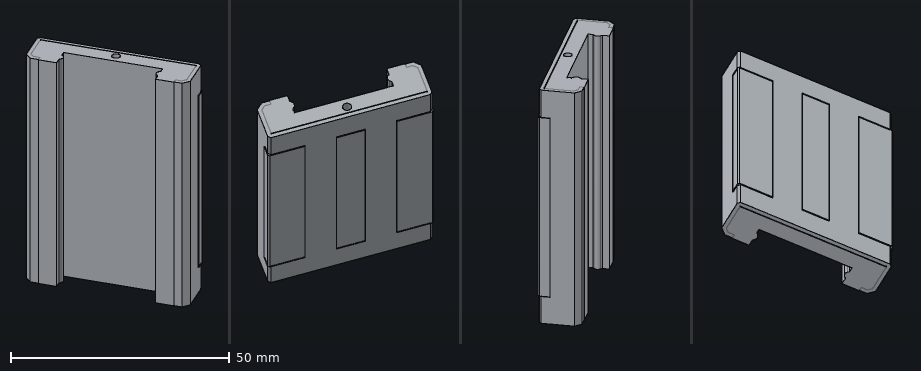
import cadquery as cq
import math

length = 59.1
overall_width = 40.0
overall_depth = 10.2

side_pad_thickness = 0.2
back_pad_thickness = 0.25
core_step = 0.1
wall = 1.0
half_width = overall_width / 2 - side_pad_thickness
casing_back = overall_depth - back_pad_thickness
front_chamfer = 1.5
back_chamfer = 0.6
lip_end_x = 16.4

cavity_half_width = half_width - wall
cavity_front = core_step + wall
cavity_back = casing_back - wall
cavity_chamfer = front_chamfer - wall * (2 - math.sqrt(2))
back_gap = 0.1
channel_half_width = 11.95
channel_depth = 5.0
rail_tip_radius = 1.0
rail_flank = 0.4
rail_y = 2.8

hole_diameter = 2.0
hole_y = 7.25
hole_depth = 5.9

pad_end_margin = 6.9
corner_pad_depth = 2.9
corner_pad_inner_x = 11.05
pad_chamfer = 0.4
centre_pad_width = 6.9


def block(x_min, x_max, y_min, y_max, z_min, z_max):
    """Box given by its limits along each axis."""
    size = (x_max - x_min, y_max - y_min, z_max - z_min)
    return cq.Workplane("XY").box(*size, centered=False).translate((x_min, y_min, z_min))


def make_cavity(back):
    """Space inside the casing, from behind the lips to the given back face."""
    space = block(-cavity_half_width, cavity_half_width, cavity_front, back, 0, length)
    return space.edges("|Z and <Y").chamfer(cavity_chamfer)


def make_casing():
    shell = block(-half_width, half_width, core_step, casing_back, 0, length)
    shell = shell.edges("|Z and <Y").chamfer(front_chamfer)
    shell = shell.edges("|Z and >Y").chamfer(back_chamfer)
    mouth = block(-lip_end_x, lip_end_x, core_step, cavity_front, 0, length)
    return shell.cut(make_cavity(cavity_back)).cut(mouth)


def make_rail():
    """Rail on the +X channel wall: two 45 degree flanks joined by a tangent round tip."""
    flank_top_x = channel_half_width - rail_flank
    tip_half_height = rail_tip_radius * math.sin(math.pi / 4)
    tip_x = flank_top_x - rail_tip_radius * (1 - math.cos(math.pi / 4))
    base_half_height = tip_half_height + rail_flank
    root_x = channel_half_width + rail_flank
    return (
        cq.Workplane("XY")
        .moveTo(root_x, rail_y - base_half_height)
        .lineTo(channel_half_width, rail_y - base_half_height)
        .lineTo(flank_top_x, rail_y - tip_half_height)
        .threePointArc((tip_x, rail_y), (flank_top_x, rail_y + tip_half_height))
        .lineTo(channel_half_width, rail_y + base_half_height)
        .lineTo(root_x, rail_y + base_half_height)
        .close()
        .extrude(length)
    )


def make_core():
    core = make_cavity(cavity_back - back_gap)
    core = core.union(block(-lip_end_x, lip_end_x, 0, cavity_front, 0, length))
    core = core.cut(block(-channel_half_width, channel_half_width, 0, channel_depth, 0, length))
    rail = make_rail()
    hole = (
        cq.Workplane("XY", origin=(0, hole_y, length))
        .circle(hole_diameter / 2)
        .extrude(-hole_depth)
    )
    return core.union(rail).union(rail.mirror("YZ")).cut(hole)


def make_pads():
    """Centre pad and two corner pads, each sunk into the casing wall."""
    z_range = (pad_end_margin, length - pad_end_margin)
    pad_root = casing_back - wall / 2
    pads = block(-centre_pad_width / 2, centre_pad_width / 2, pad_root, overall_depth, *z_range)

    outer_x = overall_width / 2
    root_x = half_width - wall / 2
    corner = block(corner_pad_inner_x, outer_x, overall_depth - corner_pad_depth, overall_depth, *z_range)
    corner = corner.edges("|Z and >X and >Y").chamfer(pad_chamfer)
    corner = corner.cut(block(0, root_x, 0, pad_root, 0, length))
    return pads.union(corner).union(corner.mirror("YZ"))


result = make_casing().union(make_pads()).union(make_core(), clean=False)